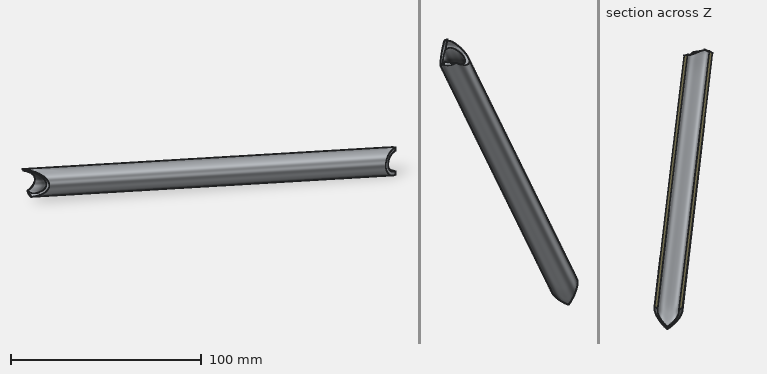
import cadquery as cq
import math

tube_diameter = 15.0
wall = 1.9
tube_heading = 44.45
tube_fall = 0.78
tube_length = 199.9
end_tilt = 15.0
overrun = 29.1

saddle_radius = 7.5
front_saddle_heading = -15.0
front_saddle_distance = 202.8
left_saddle_heading = 100.0
left_saddle_distance = 207.0
saddle_fall = 0.8
saddle_length = 58.2
saddle_lift = 0.3


def direction(heading, fall):
    """Unit vector from its heading in the XY plane and its fall, in degrees."""
    a = math.radians(heading)
    b = math.radians(fall)
    return cq.Vector(math.cos(a) * math.cos(b), math.sin(a) * math.cos(b), -math.sin(b))


def rod(radius, start, axis, length):
    return cq.Workplane(obj=cq.Solid.makeCylinder(radius, length, start, axis))


tube_axis = direction(tube_heading, tube_fall)
tube_start = tube_axis * -tube_length
tube_radius = tube_diameter / 2
blank_start = tube_start - tube_axis * overrun
blank_length = tube_length + 2 * overrun
outer = rod(tube_radius, blank_start, tube_axis, blank_length)
bore = rod(tube_radius - wall, blank_start, tube_axis, blank_length)
tube = outer.cut(bore)

keep_size = 2 * tube_length
corner = cq.Workplane().box(keep_size, keep_size, keep_size).translate((-keep_size / 2, -keep_size / 2, 0))
result = tube.intersect(corner)

end_axis = direction(tube_heading, tube_fall - end_tilt)
result = result.cut(rod(overrun, tube_start, end_axis * -1, 2 * overrun))
for heading, distance in (
    (front_saddle_heading, front_saddle_distance),
    (left_saddle_heading, left_saddle_distance),
):
    saddle_start = tube_axis * -distance + cq.Vector(0, 0, saddle_lift)
    saddle_axis = direction(heading, saddle_fall)
    result = result.cut(rod(saddle_radius, saddle_start, saddle_axis, saddle_length))